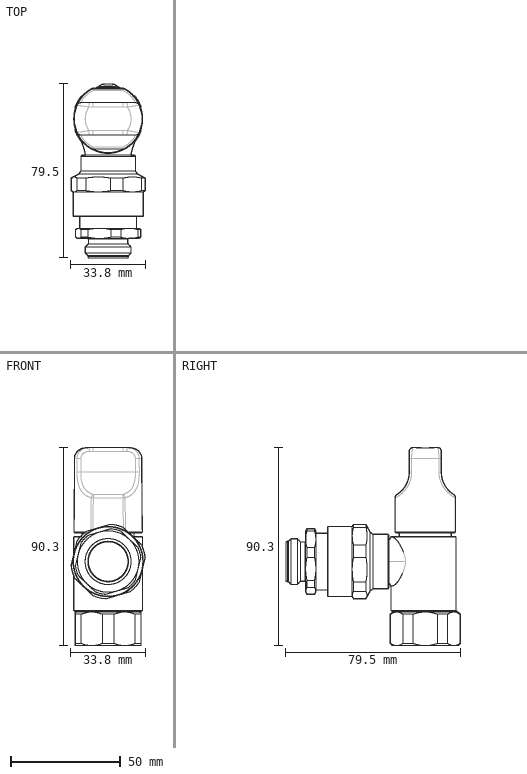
import cadquery as cq
import math


nut_bottom = -38.31
nut_top = -23.0
body_bottom = -22.5
body_top = 11.4
handle_bottom = 13.1
handle_top = 52.2

nut_flats = 30.0
nut_corner_diameter = 32.0
nut_chamfer_length = 1.0

body_radius = 15.7
body_edge_chamfer = 0.3
body_back_flat = 14.0
stem_diameter = 23.75
seat_diameter = 29.0

handle_top_radius = 15.4
handle_flat_offset = 13.8
handle_edge_chamfer = 0.4
grip_half_thickness = 7.35
scoop_start = 40.7
scoop_radius = 12.0
top_dish_depth = 0.4
top_corner_radius = 5.0
edge_fillet = 1.9

flare_root_y = 8.0
flare_root_half_width = 13.4
flare_root_half_height = 23.0
flare_middle_y = 12.0
flare_middle_half_width = 11.6
flare_middle_half_height = 17.2
flare_end_half_width = 10.4
flare_end_half_height = 9.8

collar_start = 16.5
collar_end = 23.8
cone_start = 25.1
cone_start_radius = 13.4
union_nut_start = 27.0
union_nut_end = 33.3
sleeve_end = 44.5
shank_end = 49.85
lock_nut_end = 54.5
tip_neck_end = 56.9
bead_start = 58.3
bead_end = 61.1
tip_land_start = 62.35
tip_land_end = 62.8
outlet_end = 63.48

collar_diameter = 25.0
collar_chamfer = 0.6
union_nut_corner_diameter = 34.0
union_nut_flats = 32.0
sleeve_diameter = 32.0
sleeve_chamfer = 0.2
shank_diameter = 26.0
lock_nut_corner_diameter = 30.0
lock_nut_flats = 28.0
tip_neck_diameter = 18.0
bead_diameter = 20.95
tip_land_diameter = 18.5
tip_root_chamfer = 0.3
outlet_nut_turn = -13.6
hex_half_angle = 30.0
hex_chamfer_angle = 30.0


def disc(diameter, bottom, top):
    return cq.Workplane("XY").workplane(offset=bottom).circle(diameter / 2).extrude(top - bottom)


def hex_prism(flats, bottom, top, turn):
    """Hexagonal prism on Z; at zero turn two of its flats face along X."""
    corner_distance = flats / math.cos(math.radians(hex_half_angle))
    prism = cq.Workplane("XY").polygon(6, corner_distance).extrude(top - bottom)
    return prism.rotate((0, 0, 0), (0, 0, 1), hex_half_angle + turn).translate((0, 0, bottom))


def along_outlet(shape):
    """Lay a shape built on +Z down along -Y, keeping X."""
    return shape.rotate((0, 0, 0), (1, 0, 0), 90)


def turned_outlet(points):
    """Revolve (radius, distance) points about the outlet axis."""
    return along_outlet(cq.Workplane("XZ").polyline(points).close().revolve(360, (0, 0), (0, 1)))


def make_bottom_nut():
    blank = disc(nut_corner_diameter, nut_bottom, nut_top).edges().chamfer(nut_chamfer_length)
    return blank.intersect(hex_prism(nut_flats, nut_bottom, nut_top, 0))


def make_flare():
    """Neck between body and outlet, widening into the body more along Z than along X."""
    neck = cq.Workplane("XZ").workplane(offset=flare_root_y)
    neck = neck.ellipse(flare_root_half_width, flare_root_half_height)
    neck = neck.workplane(offset=flare_middle_y - flare_root_y)
    neck = neck.ellipse(flare_middle_half_width, flare_middle_half_height)
    neck = neck.workplane(offset=collar_start - flare_middle_y)
    neck = neck.ellipse(flare_end_half_width, flare_end_half_height)
    neck = neck.loft()
    flare_limit = body_top - body_edge_chamfer
    limit_box = cq.Workplane("XY").box(4 * body_radius, 4 * body_radius, 2 * flare_limit)
    return neck.intersect(limit_box)


def make_body():
    barrel = disc(2 * body_radius, body_bottom, body_top)
    trim_size = 4 * body_radius
    back_trim = cq.Workplane("XY").box(trim_size, trim_size, 2 * trim_size)
    barrel = barrel.cut(back_trim.translate((0, body_back_flat + trim_size / 2, 0)))
    barrel = barrel.faces("<Z or >Z").edges().chamfer(body_edge_chamfer)
    body = barrel.union(make_flare())
    seat = disc(seat_diameter, nut_top, body_bottom)
    stem = disc(stem_diameter, body_top, handle_bottom)
    return body.union(seat).union(stem)


def handle_side_profile():
    """Outline across the handle: flats, thumb scoops, thin grip and dished top."""
    scoop_depth = handle_flat_offset - grip_half_thickness
    scoop_angle = math.acos(1 - scoop_depth / scoop_radius)
    scoop_end = scoop_start - scoop_radius * math.sin(scoop_angle)
    half_angle = scoop_angle / 2
    scoop_mid_y = grip_half_thickness + scoop_radius * (1 - math.cos(half_angle))
    scoop_mid_z = scoop_start - scoop_radius * math.sin(half_angle)
    return (
        cq.Workplane("YZ")
        .moveTo(-handle_flat_offset, handle_bottom)
        .lineTo(handle_flat_offset, handle_bottom)
        .lineTo(handle_flat_offset, scoop_end)
        .threePointArc((scoop_mid_y, scoop_mid_z), (grip_half_thickness, scoop_start))
        .lineTo(grip_half_thickness, handle_top)
        .threePointArc((0, handle_top - top_dish_depth), (-grip_half_thickness, handle_top))
        .lineTo(-grip_half_thickness, scoop_start)
        .threePointArc((-scoop_mid_y, scoop_mid_z), (-handle_flat_offset, scoop_end))
        .close()
    )


def make_handle():
    cone = (
        cq.Workplane("XZ")
        .polyline(
            [
                (0, handle_bottom),
                (body_radius, handle_bottom),
                (handle_top_radius, handle_top),
                (0, handle_top),
            ]
        )
        .close()
        .revolve(360, (0, 0), (0, 1))
    )
    handle = cone.intersect(handle_side_profile().extrude(body_radius, both=True))
    reach = 2 * body_radius
    top_edge_level = handle_top - edge_fillet
    for side in (-1, 1):
        end_box = cq.selectors.BoxSelector(
            (side * body_radius / 2, -reach, top_edge_level), (side * reach, reach, handle_top + reach)
        )
        handle = handle.edges(end_box).fillet(top_corner_radius)
    handle = handle.edges("not <Z").fillet(edge_fillet)
    return handle.faces("<Z").chamfer(handle_edge_chamfer)


def make_union_nut():
    corner_radius = union_nut_corner_diameter / 2
    end_chamfer = (corner_radius - union_nut_flats / 2) * math.tan(math.radians(hex_chamfer_angle))
    blank = turned_outlet(
        [
            (0, collar_end),
            (collar_diameter / 2, collar_end),
            (cone_start_radius, cone_start),
            (corner_radius, union_nut_start),
            (corner_radius, union_nut_end - end_chamfer),
            (union_nut_flats / 2, union_nut_end),
            (0, union_nut_end),
        ]
    )
    prism = along_outlet(hex_prism(union_nut_flats, collar_end, union_nut_end, outlet_nut_turn))
    return blank.intersect(prism)


def make_lock_nut():
    corner_radius = lock_nut_corner_diameter / 2
    flat_radius = lock_nut_flats / 2
    chamfer_length = (corner_radius - flat_radius) * math.tan(math.radians(hex_chamfer_angle))
    blank = turned_outlet(
        [
            (0, shank_end),
            (flat_radius, shank_end),
            (corner_radius, shank_end + chamfer_length),
            (corner_radius, lock_nut_end - chamfer_length),
            (flat_radius, lock_nut_end),
            (0, lock_nut_end),
        ]
    )
    prism = along_outlet(hex_prism(lock_nut_flats, shank_end, lock_nut_end, outlet_nut_turn))
    return blank.intersect(prism)


def make_outlet():
    collar = disc(collar_diameter, collar_start, collar_end).faces("<Z").chamfer(collar_chamfer)
    sleeve = disc(sleeve_diameter, union_nut_end, sleeve_end).faces(">Z").chamfer(sleeve_chamfer)
    shank = disc(shank_diameter, sleeve_end, shank_end)
    tip = turned_outlet(
        [
            (0, lock_nut_end),
            (tip_neck_diameter / 2 + tip_root_chamfer, lock_nut_end),
            (tip_neck_diameter / 2, lock_nut_end + tip_root_chamfer),
            (tip_neck_diameter / 2, tip_neck_end),
            (bead_diameter / 2, bead_start),
            (bead_diameter / 2, bead_end),
            (tip_land_diameter / 2, tip_land_start),
            (tip_land_diameter / 2, tip_land_end),
            (tip_neck_diameter / 2, outlet_end),
            (0, outlet_end),
        ]
    )
    outlet = along_outlet(collar).union(make_union_nut()).union(along_outlet(sleeve))
    return outlet.union(along_outlet(shank)).union(make_lock_nut()).union(tip)


result = make_body().union(make_bottom_nut()).union(make_handle()).union(make_outlet())